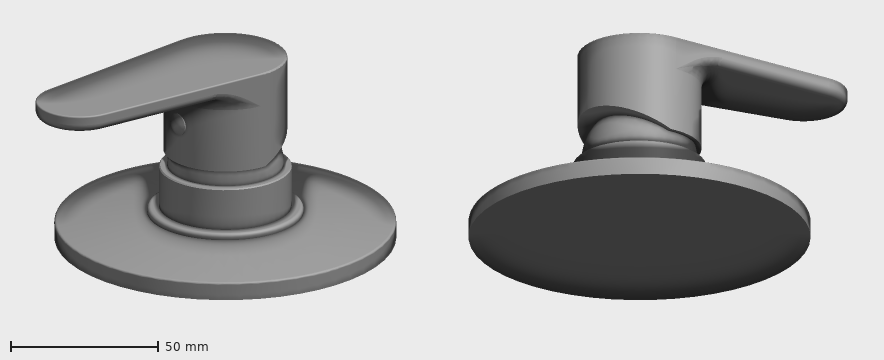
import cadquery as cq
import math

total_height = 66.2
plate_radius = 58.0
lever_reach = 79.5

plate_rim_height = 6.2
plate_crown_height = 10.2
plate_edge_round = 0.8

bead_radius = 26.5
bead_top = 11.5
bead_edge_round = 1.2

sleeve_radius = 22.5
sleeve_top = 26.4
sleeve_chamfer = 0.4
ball_radius = 19.8
ball_centre_height = 27.5

hub_radius = 21.0
hub_bottom = 32.2
rear_cut_rise = 9.8
tip_radius = 15.0
lever_thickness = 6.0
lever_edge_round = 2.9
neck_round = 5.6
top_edge_round = 0.5

cap_height = 46.5
cap_radius = 3.8
cap_rim_reach = 21.2
cap_crown_reach = 22.4

lever_bottom = total_height - lever_thickness


def make_plate():
    """Round plate with a shallow crowned upper face."""
    crown_drop = plate_crown_height - plate_rim_height
    crown_radius = (plate_radius**2 + crown_drop**2) / (2 * crown_drop)
    mid_radius = plate_radius / 2
    mid_height = plate_crown_height - crown_radius + math.sqrt(crown_radius**2 - mid_radius**2)
    plate = (
        cq.Workplane("XZ")
        .lineTo(plate_radius, 0)
        .lineTo(plate_radius, plate_rim_height)
        .threePointArc((mid_radius, mid_height), (0, plate_crown_height))
        .close()
        .revolve(360, (0, 0), (0, 1))
    )
    rim_edge = cq.selectors.NearestToPointSelector((0, 0, plate_rim_height))
    return plate.edges(rim_edge).fillet(plate_edge_round)


def make_bead():
    """Disc seated in the crown of the plate, rounded along its upper edge."""
    bead = cq.Workplane("XY").circle(bead_radius).extrude(bead_top)
    return bead.faces(">Z").edges().fillet(bead_edge_round)


def make_ball():
    """Ball that rises out of the sleeve into the handle."""
    return cq.Workplane("XY").sphere(ball_radius).translate((0, 0, ball_centre_height))


def make_base():
    """Cover plate, bead, sleeve and ball in one piece."""
    sleeve = cq.Workplane("XY").circle(sleeve_radius).extrude(sleeve_top)
    sleeve = sleeve.faces(">Z").edges().chamfer(sleeve_chamfer)
    return make_plate().union(make_bead()).union(sleeve).union(make_ball())


def lever_outline(height):
    """Hub circle and smaller tip circle joined by their common tangents."""
    tip_y = tip_radius - lever_reach
    lean = math.asin((hub_radius - tip_radius) / -tip_y)
    side_x = math.cos(lean)
    side_y = -math.sin(lean)
    return (
        cq.Workplane("XY", origin=(0, 0, height))
        .moveTo(hub_radius * side_x, hub_radius * side_y)
        .threePointArc((0, hub_radius), (-hub_radius * side_x, hub_radius * side_y))
        .lineTo(-tip_radius * side_x, tip_y + tip_radius * side_y)
        .threePointArc((0, -lever_reach), (tip_radius * side_x, tip_y + tip_radius * side_y))
        .close()
    )


def make_neck():
    """Concave collar that blends the hub into the underside of the lever."""
    neck_bottom = lever_bottom - neck_round
    collar_radius = hub_radius + neck_round
    arc_offset = neck_round * math.sqrt(0.5)
    collar = (
        cq.Workplane("XZ")
        .moveTo(0, neck_bottom)
        .lineTo(hub_radius, neck_bottom)
        .threePointArc(
            (collar_radius - arc_offset, neck_bottom + arc_offset),
            (collar_radius, lever_bottom),
        )
        .lineTo(0, lever_bottom)
        .close()
        .revolve(360, (0, 0), (0, 1))
    )
    return collar.intersect(lever_outline(neck_bottom).extrude(neck_round))


def rear_cut():
    """Wedge that slopes the rear half of the hub's lower end upward."""
    return (
        cq.Workplane("YZ", origin=(-hub_radius, 0, 0))
        .moveTo(0, hub_bottom)
        .lineTo(hub_radius, hub_bottom)
        .lineTo(hub_radius, hub_bottom + rear_cut_rise)
        .close()
        .extrude(2 * hub_radius)
    )


def make_screw_cap():
    """Short round stud with a domed end, pointing to the front."""
    crown = cap_crown_reach - cap_rim_reach
    crown_radius = (cap_radius**2 + crown**2) / (2 * crown)
    stud = (
        cq.Workplane("XZ", origin=(0, 0, cap_height))
        .circle(cap_radius)
        .extrude(cap_crown_reach)
    )
    dome = cq.Workplane("XY").sphere(crown_radius)
    return stud.intersect(dome.translate((0, crown_radius - cap_crown_reach, cap_height)))


def make_handle():
    """Hub, neck and lever, hollowed to sit over the ball."""
    hub = cq.Workplane("XY", origin=(0, 0, hub_bottom)).circle(hub_radius)
    hub = hub.extrude(total_height - hub_bottom)
    lever = lever_outline(lever_bottom).extrude(lever_thickness)
    handle = hub.union(make_neck()).union(lever)

    lower_tip_edge = cq.selectors.NearestToPointSelector((0, -lever_reach, lever_bottom))
    handle = handle.edges(lower_tip_edge).fillet(lever_edge_round)
    handle = handle.faces(">Z").edges().fillet(top_edge_round)

    return handle.cut(rear_cut()).union(make_screw_cap()).cut(make_ball())


base = make_base()
handle = make_handle()
result = cq.Compound.makeCompound([base.val(), handle.val()])